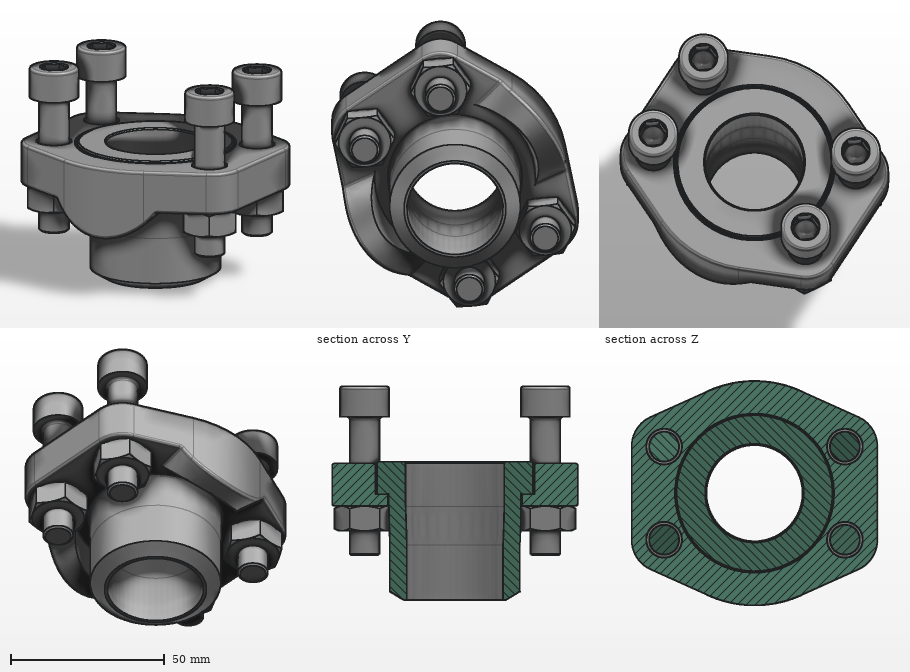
import cadquery as cq
import math


tolerance = 0.01

flange_length = 80.0
bolt_x = 29.4
bolt_y = 15.1
corner_radius = flange_length / 2 - bolt_x
middle_radius = 36.5
plate_thickness = 14.0
edge_fillet = 1.0
bolt_hole_diameter = 11.5
rim_chamfer = 0.5

lobe_depth = 24.0
lobe_radius = 24.0
lobe_taper = 8.0
relief_bottom_radius = 29.0
relief_top_radius = 26.1

seat_diameter = 51.6
seat_depth = 10.0
neck_bore_diameter = 43.7
insert_top = 0.52
insert_height = 45.0
insert_bottom = insert_top - insert_height
collar_diameter = 50.8
neck_diameter = 43.0
neck_end = -14.4
pipe_diameter = 42.4
pipe_start = -26.5
weld_chamfer_width = 4.6
weld_chamfer_height = 2.8
bore_diameter = 32.0
pipe_bore_diameter = 31.2
bore_taper_start = -14.0

overall_height = 69.5
head_top = insert_bottom + overall_height
head_height = 10.0
head_bottom = head_top - head_height
head_diameter = 16.0
head_fillet = 1.0
shank_diameter = 9.8
shank_length = 45.0
shank_fillet = 0.9
tip_diameter = 8.3
tip_height = 0.6
socket_width = 8.0
socket_depth = 6.0
socket_turn = 38.0
socket_mouth_diameter = 9.2
socket_mouth_depth = 0.5
drill_point_angle = 120.0

nut_width = 17.0
nut_height = 8.0
nut_chamfer_angle = 30.0

bolt_places = [(x, y) for x in (-bolt_x, bolt_x) for y in (-bolt_y, bolt_y)]


def across_corners(width_across_flats):
    return width_across_flats / math.cos(math.radians(30))


def cone(bottom_radius, top_radius, bottom, height):
    """Truncated cone on the Z axis."""
    return cq.Workplane(cq.Solid.makeCone(bottom_radius, top_radius, height, cq.Vector(0, 0, bottom)))


def revolve_about_z(profile):
    return profile.close().revolve(360, (0, 0), (0, 1))


def flange_outline():
    """Outline at Z = 0 around the middle circle and the four corner circles, joined by tangents."""
    spacing = math.hypot(bolt_x, bolt_y)
    tangent_angle = math.atan2(bolt_y, bolt_x) + math.acos((middle_radius - corner_radius) / spacing)

    def on_corner(angle):
        return bolt_x + corner_radius * math.cos(angle), bolt_y + corner_radius * math.sin(angle)

    side_x = flange_length / 2
    mid_x, mid_y = on_corner(tangent_angle / 2)
    corner_x, corner_y = on_corner(tangent_angle)
    end_x = middle_radius * math.cos(tangent_angle)
    end_y = middle_radius * math.sin(tangent_angle)
    return (
        cq.Workplane("XY")
        .moveTo(side_x, -bolt_y)
        .lineTo(side_x, bolt_y)
        .threePointArc((mid_x, mid_y), (corner_x, corner_y))
        .lineTo(end_x, end_y)
        .threePointArc((0, middle_radius), (-end_x, end_y))
        .lineTo(-corner_x, corner_y)
        .threePointArc((-mid_x, mid_y), (-side_x, bolt_y))
        .lineTo(-side_x, -bolt_y)
        .threePointArc((-mid_x, -mid_y), (-corner_x, -corner_y))
        .lineTo(-end_x, -end_y)
        .threePointArc((0, -middle_radius), (end_x, -end_y))
        .lineTo(corner_x, -corner_y)
        .threePointArc((mid_x, -mid_y), (side_x, -bolt_y))
        .close()
    )


def make_lobes():
    """Both lobes: cones along Y, trimmed by the outline and cleared around the insert."""
    inner_radius = lobe_radius - middle_radius * math.tan(math.radians(lobe_taper))
    centre = cq.Vector(0, 0, lobe_radius - lobe_depth)
    lobes = flange_outline().extrude(-lobe_depth)
    cones = [
        cq.Solid.makeCone(inner_radius, lobe_radius, middle_radius, centre, cq.Vector(0, side, 0))
        for side in (-1, 1)
    ]
    lobes = lobes.intersect(cq.Workplane(cones[0]).union(cq.Workplane(cones[1])))
    relief = cone(relief_bottom_radius, relief_top_radius, -lobe_depth, lobe_depth - plate_thickness)
    return lobes.cut(relief)


def fillet_lobe_roots(body):
    """Round the inside corners where the sides of the lobes meet the plate."""
    roots = [
        edge for edge in body.edges().vals()
        if edge.geomType() == "HYPERBOLA" and abs(edge.Center().z + plate_thickness) < tolerance
    ]
    return body.newObject(roots).fillet(edge_fillet)


def fillet_lower_rim(body):
    """Round the lower edge of the outer wall, along the plate and the lobes."""
    wall_line = flange_outline().val()

    def on_lower_rim(point):
        flat_point = cq.Vertex.makeVertex(point.x, point.y, 0)
        return point.z < tolerance - plate_thickness and flat_point.distance(wall_line) < tolerance

    rim = [
        edge for edge in body.edges().vals()
        if on_lower_rim(edge.startPoint()) and on_lower_rim(edge.endPoint())
    ]
    return body.newObject(rim).fillet(edge_fillet)


def make_flange():
    body = flange_outline().extrude(-plate_thickness).union(make_lobes())
    body = fillet_lobe_roots(body)
    body = body.faces(">Z").edges().fillet(edge_fillet)
    body = fillet_lower_rim(body)
    seat_radius = seat_diameter / 2
    seat = cq.Workplane("XY").circle(seat_radius).extrude(-seat_depth)
    seat_chamfer = cone(seat_radius, seat_radius + rim_chamfer, -rim_chamfer, rim_chamfer)
    neck_bore = cq.Workplane("XY").circle(neck_bore_diameter / 2).extrude(-lobe_depth)
    bolt_holes = (
        cq.Workplane("XY").pushPoints(bolt_places).circle(bolt_hole_diameter / 2).extrude(-lobe_depth)
    )
    return body.cut(seat).cut(seat_chamfer).cut(neck_bore).cut(bolt_holes)


def make_insert():
    """Weld insert: a collar on the seat, a slightly tapered neck and a pipe end."""
    collar_radius = collar_diameter / 2
    neck_radius = neck_diameter / 2
    pipe_radius = pipe_diameter / 2
    bore_radius = bore_diameter / 2
    pipe_bore_radius = pipe_bore_diameter / 2
    return revolve_about_z(
        cq.Workplane("XZ")
        .moveTo(bore_radius + rim_chamfer, insert_top)
        .lineTo(collar_radius - rim_chamfer, insert_top)
        .lineTo(collar_radius, insert_top - rim_chamfer)
        .lineTo(collar_radius, -seat_depth)
        .lineTo(neck_radius, -seat_depth)
        .lineTo(neck_radius, neck_end)
        .lineTo(pipe_radius, pipe_start)
        .lineTo(pipe_radius, insert_bottom + weld_chamfer_height)
        .lineTo(pipe_radius - weld_chamfer_width, insert_bottom)
        .lineTo(pipe_bore_radius, insert_bottom)
        .lineTo(pipe_bore_radius, pipe_start)
        .lineTo(bore_radius, bore_taper_start)
        .lineTo(bore_radius, insert_top - rim_chamfer)
    )


def make_socket():
    """Hex recess with a countersunk mouth and a drill point at its bottom."""
    floor = head_top - socket_depth
    hexagon = (
        cq.Workplane("XY", origin=(0, 0, floor))
        .polygon(6, across_corners(socket_width))
        .extrude(socket_depth)
        .rotate((0, 0, 0), (0, 0, 1), socket_turn)
    )
    point_radius = socket_width / 2
    point_depth = point_radius / math.tan(math.radians(drill_point_angle / 2))
    point = cone(0, point_radius, floor - point_depth, point_depth)
    mouth_radius = socket_mouth_diameter / 2
    mouth = cone(
        mouth_radius - socket_mouth_depth, mouth_radius, head_top - socket_mouth_depth, socket_mouth_depth
    )
    return hexagon.union(point).union(mouth)


def make_screw():
    head = cq.Workplane("XY", origin=(0, 0, head_bottom)).circle(head_diameter / 2).extrude(head_height)
    head = head.faces(">Z").edges().fillet(head_fillet)
    shank_radius = shank_diameter / 2
    tip = head_bottom - shank_length
    shank = revolve_about_z(
        cq.Workplane("XZ")
        .moveTo(0, head_bottom)
        .lineTo(shank_radius + shank_fillet, head_bottom)
        .radiusArc((shank_radius, head_bottom - shank_fillet), -shank_fillet)
        .lineTo(shank_radius, tip + tip_height)
        .lineTo(tip_diameter / 2, tip)
        .lineTo(0, tip)
    )
    return head.union(shank).cut(make_socket())


def make_nut():
    """Hex nut against the underside of the plate, with its corners chamfered on both faces."""
    top = -plate_thickness
    bottom = top - nut_height
    hole_radius = shank_diameter / 2
    flat_radius = nut_width / 2
    corner_reach = across_corners(nut_width) / 2
    chamfer_height = (corner_reach - flat_radius) * math.tan(math.radians(nut_chamfer_angle))
    hexagon = cq.Workplane("XY", origin=(0, 0, bottom)).polygon(6, 2 * corner_reach).extrude(nut_height)
    chamfered_ring = revolve_about_z(
        cq.Workplane("XZ")
        .moveTo(hole_radius, bottom)
        .lineTo(flat_radius, bottom)
        .lineTo(corner_reach, bottom + chamfer_height)
        .lineTo(corner_reach, top - chamfer_height)
        .lineTo(flat_radius, top)
        .lineTo(hole_radius, top)
    )
    return hexagon.intersect(chamfered_ring)


flange = make_flange()
insert = make_insert()
screws = [make_screw().translate((x, y, 0)) for x, y in bolt_places]
nuts = [make_nut().translate((x, y, 0)) for x, y in bolt_places]

bodies = [flange, insert, *screws, *nuts]
result = cq.Compound.makeCompound([body.solids().val() for body in bodies])